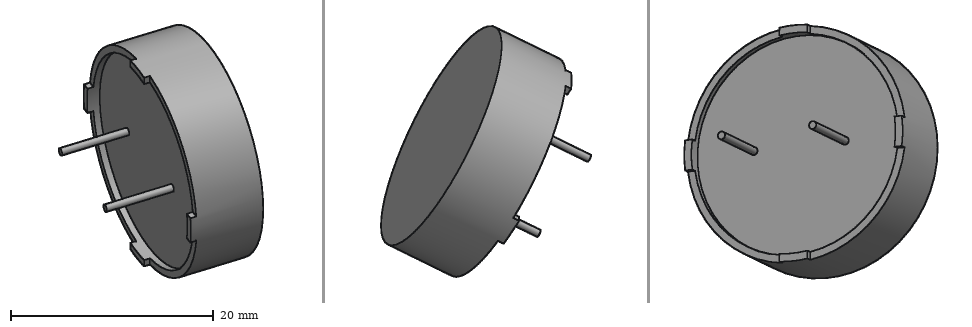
import cadquery as cq

outer_diameter = 24.0
rim_width = 0.8
inner_diameter = outer_diameter - 2 * rim_width
body_depth = 7.35
overall_depth = 14.0

tab_width = 3.07
tab_end = 8.0

plate_recess = 0.75

pin_diameter = 0.8
pin_spacing = 10.0


def disc(diameter, depth):
    """Cylinder from Y = 0 to Y = -depth."""
    return cq.Workplane("XZ").circle(diameter / 2).extrude(depth)


def standoff_tabs():
    """Four rim segments kept where a cross of two bars meets the rim."""
    ring = disc(outer_diameter, tab_end).cut(disc(inner_diameter, tab_end))
    bar_x = cq.Workplane("XZ").rect(outer_diameter, tab_width).extrude(tab_end)
    bar_z = cq.Workplane("XZ").rect(tab_width, outer_diameter).extrude(tab_end)
    return ring.intersect(bar_x.union(bar_z))


def pins():
    """Two pins side by side along X, rooted at the back face."""
    centers = [(-pin_spacing / 2, 0), (pin_spacing / 2, 0)]
    return cq.Workplane("XZ").pushPoints(centers).circle(pin_diameter / 2).extrude(overall_depth)


plate_depth = body_depth - plate_recess
rim = disc(outer_diameter, body_depth).cut(disc(inner_diameter, body_depth))
plate = disc(inner_diameter, plate_depth)

result = rim.union(plate).union(standoff_tabs()).union(pins())